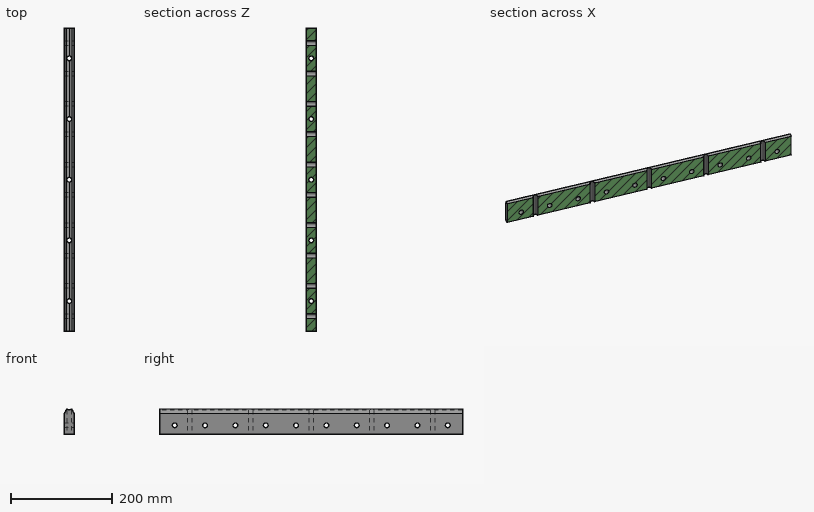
import cadquery as cq

length = 600.0
width = 20.0
height = 50.5

top_width = 11.0
bevel_height = 9.0
groove_depth = 1.6

hole_diameter = 9.0
cross_hole_count = 10
cross_hole_height = 18.0
vertical_hole_count = 5


def evenly_spaced(count):
    """Positions along Y with half a pitch left at each end of the bar."""
    pitch = length / count
    return [(index + 0.5) * pitch - length / 2 for index in range(count)]


def make_bar():
    """Extrude the bevelled profile with its grooved top along Y."""
    half_width = width / 2
    half_top = top_width / 2
    shoulder = height - bevel_height
    return (
        cq.Workplane("XZ")
        .moveTo(-half_width, 0)
        .lineTo(half_width, 0)
        .lineTo(half_width, shoulder)
        .lineTo(half_top, height)
        .lineTo(0, height - groove_depth)
        .lineTo(-half_top, height)
        .lineTo(-half_width, shoulder)
        .close()
        .extrude(length / 2, both=True)
    )


def make_cross_holes():
    """Cylinders through the full width of the bar."""
    centres = [(y, cross_hole_height) for y in evenly_spaced(cross_hole_count)]
    return (
        cq.Workplane("YZ")
        .pushPoints(centres)
        .circle(hole_diameter / 2)
        .extrude(width, both=True)
    )


def make_vertical_holes():
    """Cylinders through the full height of the bar."""
    centres = [(0, y) for y in evenly_spaced(vertical_hole_count)]
    return (
        cq.Workplane("XY")
        .pushPoints(centres)
        .circle(hole_diameter / 2)
        .extrude(height)
    )


result = make_bar().cut(make_cross_holes()).cut(make_vertical_holes())